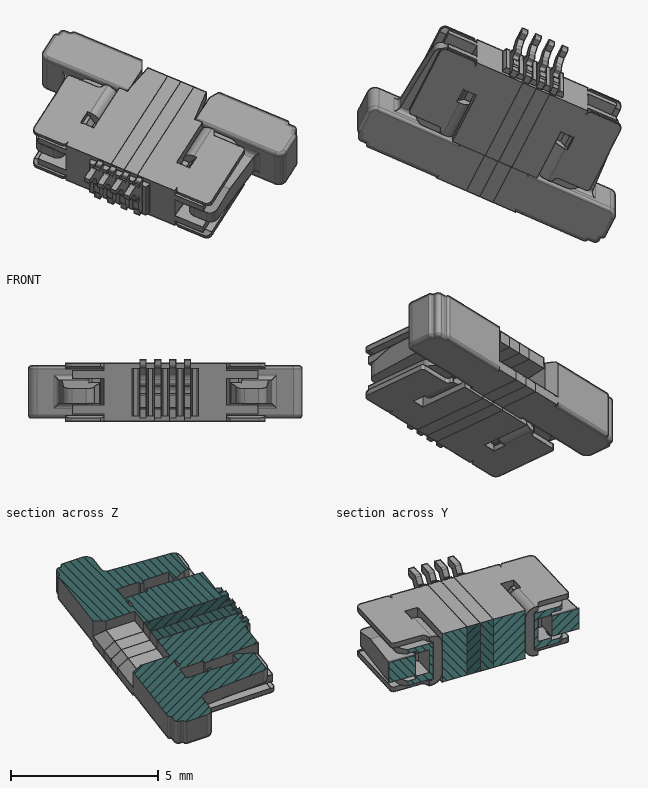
import cadquery as cq
import math


PITCH = 0.5
CONTACT_WIDTH = 0.21
CONTACT_COUNT = 4
CONTACT_TOP = 2.1
CONTACT_FACE = 0.25
TAIL_REACH = 1.0
FIRST_CONTACT_X = -PITCH * (CONTACT_COUNT - 1) / 2
RIB_BASE = 0.25
RIB_TIP = 0.14
RIB_STRAIGHT = 0.065
RIB_REACH = 0.195
RIB_BOTTOM = 0.19
RIB_TOP = 1.795

HEIGHT = 1.98
CORE_HALF = 2.08
CORE_DEPTH = 2.99
SLAB_BACK = 4.19
SLAB_FRONT_HALF = 1.29
SLAB_BACK_HALF = 1.12
SLAB_BOTTOM = 1.55

HALF_WIDTH = 4.65
GRIP_BACK = 4.49
GRIP_BOTTOM = 0.11
GRIP_TOP = 1.9
GRIP_CORNER = 0.29
GRIP_EDGE = 0.11
STEP_CORNERS = [0.09, 0.16, 0.09]
STEP_ROOT = 0.05
STEP_TIPS = [(-HALF_WIDTH, 4.13), (-4.53, 4.39), (-4.16, GRIP_BACK)]
MOUTH_HALF = SLAB_FRONT_HALF
MOUTH_FLARE_HALF = 1.5
MOUTH_FLOOR = 0.74
LIP_START = 4.09
LIP_DROP = 0.28

PLATE_HALF = 3.39
PLATE_THICKNESS = 0.195
PLATE_BACK = 2.69
PLATE_FRONT_CORNER = 0.195
PLATE_BACK_CORNER = 0.11
PLATE_LIP = 0.08
PLATE_LIP_DEPTH = 0.2
NOTCH_WIDTH = 0.12
LEDGE_HALF = 3.15
LEDGE_CORNER = 0.5
LEDGE_RELIEF = 0.12
LOWER_LEDGE = 0.25
LOWER_ARM_SIDE = 0.56
UPPER_ARM_SIDE = 1.46
UPPER_LEDGE = 1.74

SLOT_INNER = 1.59
SLOT_OUTER = 1.99
SLOT_FRONT = 1.6
SLOT_BACK = 2.91
POCKET_FRONT = 1.1
POCKET_SLOPE_OUTER = 1.97
POCKET_SLOPE_INNER = 1.81
POCKET_DEPTH = 0.23
GAP_BACK_HALF = 1.925

ARM_BOTTOM = 0.61
ARM_TOP = 1.4
ARM_TIP_Y = 0.25
ARM_TIP_TOP = 1.12
ARM_SLOPE_Y = 1.31
ARM_ROOT_HALF = 3.63
ARM_TIP_HALF = 3.44
ARM_INNER = 2.595
ARM_TIP_INNER = 2.41
BARB_INNER = 2.23
BARB_FRONT = 0.9
BARB_BACK = 1.04
ARM_CORNER = 0.29
ARM_TIP_ROUND = 0.28
ARM_FLARE = 0.17
WEDGE_RISE = 0.11
WEDGE_BACK = 2.1
POST_INNER = 2.48
POST_Y = 2.1
POST_SIZE = 0.15


def box(x, y, z):
    """Block given by its (low, high) limits along each axis."""
    return cq.Workplane("XY").box(
        x[1] - x[0], y[1] - y[0], z[1] - z[0], centered=False
    ).translate((x[0], y[0], z[0]))


def side_profile(points, x_low, x_high):
    """Prism along X from (Y, Z) points."""
    return cq.Workplane("YZ").polyline(points).close().extrude(x_high - x_low).translate((x_low, 0, 0))


def flipped(body):
    """Copy mirrored about the housing's mid height."""
    return body.mirror("XY", (0, 0, HEIGHT / 2))


def core(x_low, x_high):
    """Plain stretch of the housing, with the sloped lip below and the slab above the cable mouth."""
    return side_profile(
        [
            (0, 0), (CORE_DEPTH, 0), (CORE_DEPTH, GRIP_BOTTOM), (GRIP_BACK, GRIP_BOTTOM),
            (GRIP_BACK, MOUTH_FLOOR - LIP_DROP), (LIP_START, MOUTH_FLOOR), (CORE_DEPTH, MOUTH_FLOOR),
            (CORE_DEPTH, SLAB_BOTTOM), (SLAB_BACK, SLAB_BOTTOM), (SLAB_BACK, HEIGHT), (0, HEIGHT),
        ],
        x_low, x_high,
    )


def contact(x):
    """Solder tail bent up and out from the front face."""
    return (
        cq.Workplane("YZ")
        .moveTo(0, GRIP_BOTTOM).lineTo(0, GRIP_TOP).lineTo(-0.16, GRIP_TOP)
        .radiusArc((-0.195, GRIP_TOP - 0.04), -0.04)
        .lineTo(-0.195, 1.76).lineTo(-0.31, 1.76).lineTo(-0.31, 1.83).lineTo(-0.465, 2.06)
        .radiusArc((-0.54, CONTACT_TOP), -0.09)
        .lineTo(-TAIL_REACH, CONTACT_TOP).lineTo(-TAIL_REACH, 1.925)
        .threePointArc((-0.98, 1.85), (-0.91, 1.82))
        .lineTo(-0.71, 1.82).lineTo(-0.54, 1.59)
        .threePointArc((-0.51, 1.52), (-0.5, 1.42))
        .lineTo(-0.5, 1.28)
        .threePointArc((-0.48, 1.23), (-0.43, 1.21))
        .lineTo(-0.34, 1.21)
        .threePointArc((-0.28, 1.17), (-CONTACT_FACE, 1.09))
        .lineTo(-CONTACT_FACE, 0.96).lineTo(-0.31, 0.89).lineTo(-0.31, 0.47).lineTo(-CONTACT_FACE, 0.42)
        .lineTo(-CONTACT_FACE, GRIP_BOTTOM)
        .close().extrude(CONTACT_WIDTH).translate((x - CONTACT_WIDTH / 2, 0, 0))
    )


def rib(x):
    """Tapered rib that stands between two contacts."""
    return (
        cq.Workplane("XY").workplane(offset=RIB_BOTTOM)
        .polyline([
            (x - RIB_BASE / 2, 0), (x - RIB_BASE / 2, -RIB_STRAIGHT), (x - RIB_TIP / 2, -RIB_REACH),
            (x + RIB_TIP / 2, -RIB_REACH), (x + RIB_BASE / 2, -RIB_STRAIGHT), (x + RIB_BASE / 2, 0),
        ])
        .close().extrude(RIB_TOP - RIB_BOTTOM)
    )


def grip():
    """Left grip with rounded edges and a stepped back corner."""
    mid_z = (GRIP_BOTTOM + GRIP_TOP) / 2
    (x_outer, y_outer), (x_middle, y_middle), (x_back, y_back) = STEP_TIPS
    roots = [(x_middle, y_outer), (x_back, y_middle)]
    body = (
        cq.Workplane("XY").workplane(offset=GRIP_BOTTOM)
        .polyline([
            (-MOUTH_HALF, CORE_DEPTH), (x_outer, CORE_DEPTH), STEP_TIPS[0], roots[0],
            STEP_TIPS[1], roots[1], STEP_TIPS[2], (-MOUTH_HALF, y_back),
        ])
        .close().extrude(GRIP_TOP - GRIP_BOTTOM)
    )
    body = body.edges(cq.NearestToPointSelector((x_outer, CORE_DEPTH, mid_z))).fillet(GRIP_CORNER)
    for tip, radius in zip(STEP_TIPS, STEP_CORNERS):
        body = body.edges(cq.NearestToPointSelector((*tip, mid_z))).fillet(radius)
    for root in roots:
        body = body.edges(cq.NearestToPointSelector((*root, mid_z))).fillet(STEP_ROOT)
    body = body.faces("<Z or >Z").edges("not >X").fillet(GRIP_EDGE)
    flare = (
        cq.Workplane("XY").workplane(offset=GRIP_BOTTOM)
        .polyline([(-MOUTH_HALF, LIP_START), (-MOUTH_FLARE_HALF, GRIP_BACK), (-MOUTH_HALF, GRIP_BACK)])
        .close().extrude(HEIGHT)
    )
    lip = core(-MOUTH_FLARE_HALF, -MOUTH_HALF).intersect(flare)
    return body.cut(flare).union(lip.intersect(box((-HALF_WIDTH, 0), (0, GRIP_BACK), (0, MOUTH_FLOOR))))


def top_plate():
    """Upper guard plate, thinned underneath along its front edge."""
    top = (
        cq.Workplane("XY").workplane(offset=HEIGHT - PLATE_THICKNESS)
        .moveTo(-CORE_HALF, PLATE_LIP_DEPTH)
        .threePointArc((-2.12, 0.065), (-CORE_HALF - NOTCH_WIDTH, 0))
        .lineTo(-PLATE_HALF, 0).lineTo(-PLATE_HALF, PLATE_BACK)
        .lineTo(-2.27, PLATE_BACK)
        .threePointArc((-2.18, 2.725), (-2.13, 2.8))
        .threePointArc((-2.08, 2.88), (-SLOT_OUTER, SLOT_BACK))
        .lineTo(-SLOT_INNER, SLOT_BACK).lineTo(-SLOT_INNER, PLATE_LIP_DEPTH)
        .close().extrude(PLATE_THICKNESS)
    )
    mid_z = HEIGHT - PLATE_THICKNESS / 2
    top = top.edges(cq.NearestToPointSelector((-PLATE_HALF, 0, mid_z))).fillet(PLATE_FRONT_CORNER)
    top = top.edges(cq.NearestToPointSelector((-PLATE_HALF, PLATE_BACK, mid_z))).fillet(PLATE_BACK_CORNER)
    underside = HEIGHT - PLATE_THICKNESS
    thinning = side_profile(
        [(0, underside), (0, underside + PLATE_LIP), (PLATE_LIP_DEPTH, underside)], -PLATE_HALF, -CORE_HALF
    )
    return top.cut(thinning)


def ledge(outer_z, arm_side_z):
    """Rail above or below the latch arm, rounded at the back and relieved there on the arm's side."""
    rail = box((-LEDGE_HALF, -CORE_HALF), (0, CORE_DEPTH), sorted((outer_z, arm_side_z)))
    rail = rail.edges("|Z and <X and >Y").fillet(LEDGE_CORNER)
    relief_z = arm_side_z + math.copysign(LEDGE_RELIEF, outer_z - arm_side_z)
    relief = side_profile(
        [(CORE_DEPTH - LEDGE_CORNER, arm_side_z), (CORE_DEPTH, arm_side_z), (CORE_DEPTH, relief_z)],
        -LEDGE_HALF, -ARM_INNER,
    )
    return rail.cut(relief)


def top_slot():
    """Gap that frees the plate's inner edge: a rounded channel with a stepped pocket at its front."""
    ledge_top = UPPER_LEDGE
    underside = HEIGHT - PLATE_THICKNESS
    drop = SLOT_OUTER - SLOT_INNER
    gap = box((-CORE_HALF, -SLOT_OUTER), (POCKET_FRONT, CORE_DEPTH), (ledge_top, underside))
    channel = (
        cq.Workplane("XZ", origin=(0, CORE_DEPTH, 0))
        .moveTo(-SLOT_OUTER, HEIGHT)
        .radiusArc((-SLOT_INNER, HEIGHT - drop), drop)
        .lineTo(-SLOT_INNER, HEIGHT)
        .close().extrude(CORE_DEPTH - SLOT_FRONT)
    )
    pocket = (
        cq.Workplane("XZ", origin=(0, SLOT_FRONT, 0))
        .polyline([
            (-CORE_HALF, ledge_top), (-POCKET_SLOPE_OUTER, ledge_top),
            (-POCKET_SLOPE_INNER, ledge_top - POCKET_DEPTH), (-SLOT_INNER, ledge_top - POCKET_DEPTH),
            (-SLOT_INNER, HEIGHT), (-CORE_HALF, HEIGHT),
        ])
        .close().extrude(SLOT_FRONT - POCKET_FRONT)
    )
    return gap.union(channel).union(pocket)


def arm():
    """Latch arm reaching forward from the grip between the two ledges."""
    plan = (
        cq.Workplane("XY").workplane(offset=ARM_BOTTOM)
        .polyline([
            (-ARM_ROOT_HALF, CORE_DEPTH), (-ARM_TIP_HALF, ARM_TIP_Y), (-ARM_TIP_INNER, ARM_TIP_Y),
            (-ARM_TIP_INNER, ARM_TIP_Y + ARM_CORNER), (-BARB_INNER, BARB_FRONT),
            (-BARB_INNER, BARB_BACK), (-ARM_INNER, BARB_BACK), (-ARM_INNER, CORE_DEPTH),
        ])
        .close().extrude(ARM_TOP - ARM_BOTTOM)
    )
    mid_z = (ARM_TOP + ARM_BOTTOM) / 2
    plan = plan.edges(cq.NearestToPointSelector((-ARM_TIP_HALF, ARM_TIP_Y, mid_z))).fillet(ARM_CORNER)
    plan = plan.edges(cq.NearestToPointSelector((-ARM_TIP_INNER, ARM_TIP_Y, mid_z))).fillet(ARM_TIP_ROUND)
    slope = side_profile(
        [(ARM_TIP_Y, ARM_TIP_TOP), (ARM_SLOPE_Y, ARM_TOP), (ARM_TIP_Y, ARM_TOP)], -HALF_WIDTH, 0
    )
    return plan.cut(slope)


def grip_with_arm():
    """Grip and latch arm, blended where the arm leaves the grip."""
    body = grip().union(arm())
    mid_x = -(ARM_ROOT_HALF + ARM_INNER) / 2
    root = cq.selectors.BoxSelector(
        (-ARM_ROOT_HALF - 0.01, CORE_DEPTH - 0.01, ARM_BOTTOM - 0.01),
        (mid_x + 0.01, CORE_DEPTH + 0.01, ARM_TOP + 0.01),
    )
    return body.edges(root).fillet(ARM_FLARE)


def latch_wall():
    """Wedge on the core beside the arm, growing toward the back."""
    return (
        cq.Workplane("XY").workplane(offset=LOWER_ARM_SIDE)
        .polyline([(-CORE_HALF, 0), (-CORE_HALF - WEDGE_RISE, WEDGE_BACK), (-CORE_HALF, WEDGE_BACK)])
        .close().extrude(UPPER_ARM_SIDE - LOWER_ARM_SIDE)
    )


def post():
    """Upright post that joins the inner side of the arm to both ledges."""
    y = (POST_Y - POST_SIZE / 2, POST_Y + POST_SIZE / 2)
    return box((-POST_INNER - POST_SIZE, -POST_INNER), y, (LOWER_ARM_SIDE, UPPER_ARM_SIDE))


def side_wing():
    """Left side of the connector, up to where the plain housing sections begin."""
    slab = (
        cq.Workplane("XY").workplane(offset=SLAB_BOTTOM)
        .polyline([
            (-SLAB_FRONT_HALF, CORE_DEPTH), (-SLAB_BACK_HALF, SLAB_BACK), (0, SLAB_BACK), (0, CORE_DEPTH),
        ])
        .close().extrude(HEIGHT - SLAB_BOTTOM)
    )
    block = box((-CORE_HALF, -SLAB_FRONT_HALF), (0, CORE_DEPTH), (0, HEIGHT))
    through = box((-GAP_BACK_HALF, -SLOT_INNER), (SLOT_BACK, CORE_DEPTH), (0, HEIGHT))
    plate_space = box((-CORE_HALF, -SLOT_INNER), (SLOT_BACK, CORE_DEPTH), (UPPER_LEDGE, HEIGHT))
    centre = core(-SLAB_FRONT_HALF, 0)
    slab_space = box((-SLAB_FRONT_HALF, 0), (CORE_DEPTH, GRIP_BACK), (SLAB_BOTTOM, HEIGHT))
    body = block.union(centre.cut(slab_space)).union(slab)
    body = body.union(ledge(LOWER_LEDGE, LOWER_ARM_SIDE)).union(ledge(UPPER_LEDGE, UPPER_ARM_SIDE))
    body = body.union(top_plate()).union(flipped(top_plate()))
    for cutter in (top_slot(), flipped(top_slot()), through, plate_space, flipped(plate_space)):
        body = body.cut(cutter)
    return body.union(grip_with_arm()).union(latch_wall()).union(post())


def contact_x(index):
    """Centre of a contact, counted from the left."""
    return FIRST_CONTACT_X + index * PITCH


def section_start(index):
    """Left face of a section, flush with the left side of its contact."""
    return contact_x(index) - CONTACT_WIDTH / 2


def middle_section(index):
    """One pitch of plain housing with its contact and the rib to the right of it."""
    x = contact_x(index)
    return core(section_start(index), section_start(index + 1)).union(contact(x)).union(rib(x + PITCH / 2))


def trimmed_wing(x_end):
    """Left side of the connector, ended at a section face."""
    wing = side_wing()
    return wing.intersect(box((-HALF_WIDTH, x_end), (-GRIP_BACK, GRIP_BACK), (0, HEIGHT)))


def left_section():
    """Left end with the first contact and a rib on each side of it."""
    x = contact_x(0)
    body = trimmed_wing(section_start(1)).union(contact(x))
    return body.union(rib(x - PITCH / 2)).union(rib(x + PITCH / 2))


def right_section():
    """Right end with the last contact and the rib to the right of it."""
    last = CONTACT_COUNT - 1
    x = contact_x(last)
    return trimmed_wing(-section_start(last)).mirror("YZ").union(contact(x)).union(rib(x + PITCH / 2))


left_end = left_section()
middle_sections = [middle_section(index) for index in range(1, CONTACT_COUNT - 1)]
right_end = right_section()

result = cq.Compound.makeCompound(
    [left_end.val(), *[section.val() for section in middle_sections], right_end.val()]
)